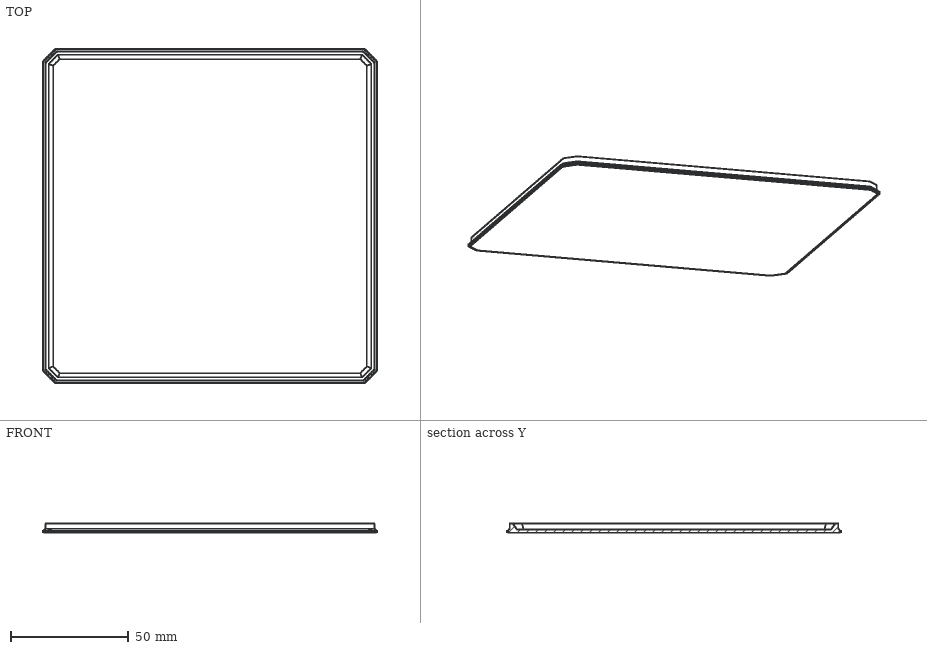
import cadquery as cq

side = 143.0
height = 4.0
corner_cut = 5.5
corner_radius = 1.7

base_inset = 0.7
flange_bottom = 0.3
flange_top = 0.9
slope_inset = 0.3
slope_top = 1.7
wall_inset = 1.1
corner_notch = 3.7

rim_bevel_width = 0.1
rim_bevel_height = 0.6
rim_inner_inset = 2.6
floor_inset = 4.5
floor_height = 1.5

CUT_CHANGE = 2 - 2**0.5


def outline(inset, z, radius=corner_radius):
    """Square with cut corners, inset evenly; a zero radius leaves the corners sharp."""
    width = side - 2 * inset
    cut = corner_cut - CUT_CHANGE * inset
    sketch = cq.Sketch().rect(width, width).vertices().chamfer(cut).reset()
    if radius > 0:
        sketch = sketch.vertices().fillet(radius)
    return sketch.moved(cq.Location(cq.Vector(0, 0, z)))


def layer(bottom, top):
    """Ruled solid between two outlines."""
    return cq.Workplane("XY").placeSketch(bottom, top).loft(ruled=True)


rim_bevel_bottom = height - rim_bevel_height

base = layer(outline(base_inset, 0), outline(base_inset, flange_top))
flange = layer(outline(0, flange_bottom), outline(0, flange_top))
slope = layer(outline(slope_inset, flange_top), outline(wall_inset, slope_top))
wall = layer(outline(wall_inset, slope_top), outline(wall_inset, rim_bevel_bottom))
rim = layer(
    outline(wall_inset, rim_bevel_bottom),
    outline(wall_inset + rim_bevel_width, height),
)

notches = (
    cq.Workplane("XY", origin=(0, 0, flange_top))
    .rect(side - corner_notch, side - corner_notch, forConstruction=True)
    .vertices()
    .rect(corner_notch, corner_notch)
    .extrude(slope_top - flange_top)
)

interior = layer(
    outline(floor_inset, floor_height, radius=0),
    outline(rim_inner_inset, height, radius=0),
)

result = base.union(flange).union(slope.cut(notches)).union(wall).union(rim).cut(interior)